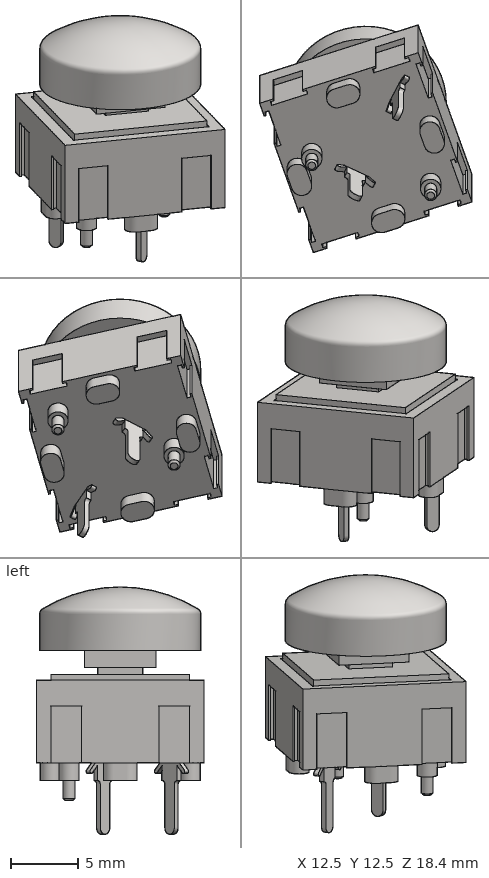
import cadquery as cq
import math


HOUSING_SIDE = 12.45
HOUSING_HEIGHT = 6.15
PLATE_SIDE = 10.3
PLATE_RISE = 0.42
GROOVE_WIDTH = 0.13
GROOVE_DEPTH = PLATE_RISE
STEM_SIDE = 3.35

WINDOW_WIDTH = 2.28
WINDOW_HEIGHT = 4.21
WALL_THICKNESS = 0.15
POCKET_DEPTH = 0.45
POCKET_UNDERCUT = 0.28

FOOT_HEIGHT = 1.32
FOOT_WIDTH = 1.5
FOOT_LENGTH = 2.52
FOOT_OFFSET = 5.2
PIN_DIAMETER = 0.9
PIN_REACH = 2.82
PIN_CHAMFER = 0.17

PITCH = 1.27
PIN_CENTRES = [(-PITCH, 3 * PITCH), (3 * PITCH, -3 * PITCH)]
TERMINALS = [(-3 * PITCH, -3 * PITCH, 45), (PITCH, PITCH, -45)]

BLADE_WIDTH = 1.01
BLADE_THICKNESS = 0.4
SHOULDER_WIDTH = 1.56
BARB_WIDTH = 0.31
BARB_SPAN = 3.18
BARB_REACH = 0.8

CAP_DIAMETER = 12.0
CAP_BASE_Z = 8.34
CAP_WALL_TOP_Z = 11.05
CROWN_RADIUS = 5.75
CROWN_BASE_Z = 11.46
TOTAL_HEIGHT = 18.4
TERMINAL_REACH = 5.32
COLLAR_SIDE = 5.34
COLLAR_BASE_Z = 7.08

CAP_TOP_Z = TOTAL_HEIGHT - TERMINAL_REACH
PLATE_TOP_Z = HOUSING_HEIGHT + PLATE_RISE


def square_block(side, bottom, top):
    """Square prism on the Z axis between two heights."""
    return cq.Workplane("XY").workplane(offset=bottom).rect(side, side).extrude(top - bottom)


def housing_block():
    """Square block with a groove around its raised plate and the stem on top."""
    groove_floor = HOUSING_HEIGHT - GROOVE_DEPTH
    groove = square_block(PLATE_SIDE + 2 * GROOVE_WIDTH, groove_floor, HOUSING_HEIGHT)
    block = square_block(HOUSING_SIDE, 0, HOUSING_HEIGHT).cut(groove)
    block = block.union(square_block(PLATE_SIDE, groove_floor, PLATE_TOP_Z))
    return block.union(square_block(STEM_SIDE, PLATE_TOP_Z, COLLAR_BASE_Z))


def corner_pocket(x):
    """Window through the +Y wall at x, with the wider pocket behind the wall."""
    outer_y = HOUSING_SIDE / 2
    inner_y = outer_y - POCKET_DEPTH
    window_y = outer_y - POCKET_DEPTH / 2
    pocket_y = (inner_y + outer_y - WALL_THICKNESS) / 2
    window = cq.Workplane("XY").center(x, window_y).rect(WINDOW_WIDTH, POCKET_DEPTH).extrude(WINDOW_HEIGHT)
    pocket = (
        cq.Workplane("XY")
        .center(x, pocket_y)
        .rect(WINDOW_WIDTH + 2 * POCKET_UNDERCUT, POCKET_DEPTH - WALL_THICKNESS)
        .extrude(WINDOW_HEIGHT)
    )
    return window.union(pocket)


def cut_wall_pockets(body):
    """Cut two pockets, open at the bottom, into each of the four side walls."""
    centre_x = (PLATE_SIDE - WINDOW_WIDTH) / 2
    for angle in (0, 90, 180, 270):
        for side in (-1, 1):
            body = body.cut(corner_pocket(side * centre_x).rotate((0, 0, 0), (0, 0, 1), angle))
    return body


def foot(angle):
    """Oblong foot along the middle of one side of the housing."""
    block = cq.Workplane("XY").center(0, FOOT_OFFSET).slot2D(FOOT_LENGTH, FOOT_WIDTH).extrude(-FOOT_HEIGHT)
    return block.rotate((0, 0, 0), (0, 0, 1), angle)


def locating_pin(x, y):
    """Chamfered pin below a round boss."""
    boss = cq.Workplane("XY").center(x, y).circle(FOOT_WIDTH / 2).extrude(-FOOT_HEIGHT)
    pin = cq.Workplane("XY").center(x, y).circle(PIN_DIAMETER / 2).extrude(-PIN_REACH)
    return boss.union(pin.faces("<Z").chamfer(PIN_CHAMFER))


def barb(side):
    """Round-ended bar that slants down at 45 degrees from one edge of the shoulder."""
    radius = BARB_WIDTH / 2
    tip_x = BARB_SPAN / 2 - radius
    tip_z = radius - BARB_REACH
    root_x = tip_x + tip_z
    half_width = radius * math.sqrt(0.5)
    return (
        cq.Workplane("XZ")
        .moveTo(side * (root_x + half_width), half_width)
        .lineTo(side * (tip_x + half_width), tip_z + half_width)
        .threePointArc(
            (side * (tip_x + half_width), tip_z - half_width),
            (side * (tip_x - half_width), tip_z - half_width),
        )
        .lineTo(side * (root_x - half_width), -half_width)
        .close()
        .extrude(BLADE_THICKNESS / 2, both=True)
    )


def terminal(x, y, angle):
    """Blade with a round tip, a wider shoulder and two barbs, turned about its own axis."""
    half_blade = BLADE_WIDTH / 2
    half_shoulder = SHOULDER_WIDTH / 2
    corner_radius = half_shoulder - half_blade
    neck_z = -FOOT_HEIGHT - corner_radius
    corner_mid_x = half_shoulder - corner_radius * math.sqrt(0.5)
    corner_mid_z = neck_z + corner_radius * math.sqrt(0.5)
    tip_round_z = half_blade - TERMINAL_REACH
    blade = (
        cq.Workplane("XZ")
        .moveTo(-half_shoulder, 0)
        .lineTo(-half_shoulder, -FOOT_HEIGHT)
        .threePointArc((-corner_mid_x, corner_mid_z), (-half_blade, neck_z))
        .lineTo(-half_blade, tip_round_z)
        .threePointArc((0, -TERMINAL_REACH), (half_blade, tip_round_z))
        .lineTo(half_blade, neck_z)
        .threePointArc((corner_mid_x, corner_mid_z), (half_shoulder, -FOOT_HEIGHT))
        .lineTo(half_shoulder, 0)
        .close()
        .extrude(BLADE_THICKNESS / 2, both=True)
    )
    for side in (-1, 1):
        blade = blade.union(barb(side))
    return blade.rotate((0, 0, 0), (0, 0, 1), angle).translate((x, y, 0))


def make_switch():
    """Housing with its stem, feet, locating pins and terminals as one solid."""
    body = cut_wall_pockets(housing_block())
    for angle in (0, 90, 180, 270):
        body = body.union(foot(angle))
    for x, y in PIN_CENTRES:
        body = body.union(locating_pin(x, y))
    for x, y, angle in TERMINALS:
        body = body.union(terminal(x, y, angle))
    return body


def make_cap():
    """Domed round cap on a square collar that rests on the stem."""
    cap_radius = CAP_DIAMETER / 2
    crown_rise = CAP_TOP_Z - CROWN_BASE_Z
    dome_radius = (CROWN_RADIUS**2 + crown_rise**2) / (2 * crown_rise)
    dome_mid_x = CROWN_RADIUS / 2
    dome_mid_z = CAP_TOP_Z - dome_radius + math.sqrt(dome_radius**2 - dome_mid_x**2)
    button = (
        cq.Workplane("XZ")
        .moveTo(0, CAP_BASE_Z)
        .lineTo(cap_radius, CAP_BASE_Z)
        .lineTo(cap_radius, CAP_WALL_TOP_Z)
        .tangentArcPoint((CROWN_RADIUS, CROWN_BASE_Z), relative=False)
        .threePointArc((dome_mid_x, dome_mid_z), (0, CAP_TOP_Z))
        .close()
        .revolve(360, (0, 0, 0), (0, 1, 0))
    )
    return button.union(square_block(COLLAR_SIDE, COLLAR_BASE_Z, CAP_BASE_Z))


switch = make_switch()
cap = make_cap()

result = cq.Compound.makeCompound([*switch.solids().vals(), *cap.solids().vals()])